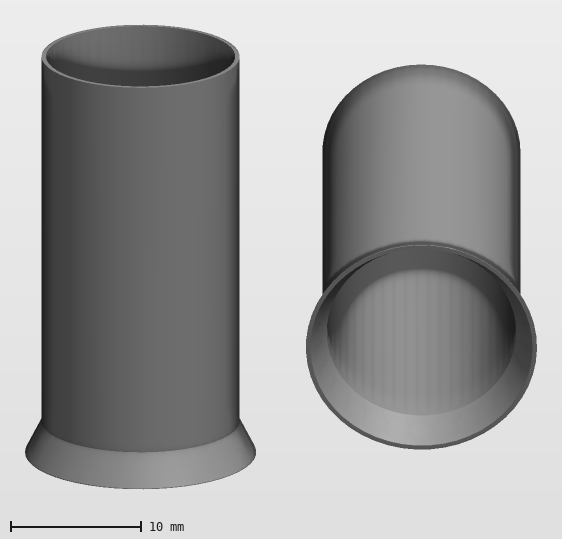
import cadquery as cq

total_height = 32.0
tube_diameter = 15.17
bore_diameter = 14.5
flare_diameter = 17.7
flare_height = 2.55
rim_height = 0.05

tube_radius = tube_diameter / 2
bore_radius = bore_diameter / 2
flare_radius = flare_diameter / 2

wall = tube_radius - bore_radius
flare_bore_radius = flare_radius - wall

wall_section = (
    cq.Workplane("XZ")
    .moveTo(flare_bore_radius, 0)
    .lineTo(flare_radius, 0)
    .lineTo(flare_radius, rim_height)
    .lineTo(tube_radius, flare_height)
    .lineTo(tube_radius, total_height)
    .lineTo(bore_radius, total_height)
    .lineTo(bore_radius, flare_height)
    .lineTo(flare_bore_radius, rim_height)
    .close()
)

result = wall_section.revolve(360, (0, 0, 0), (0, 1, 0))